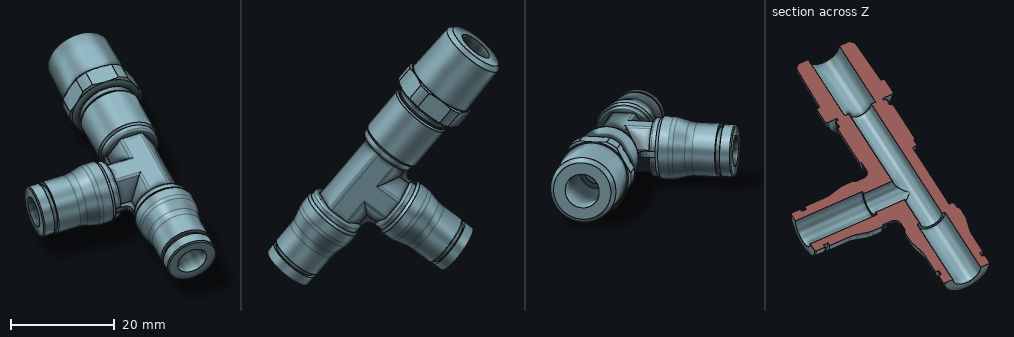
import cadquery as cq
import math

PORT_REACH = 23.4
THREAD_REACH = 35.25

PASSAGE_RADIUS = 2.4
TUBE_RADIUS = 3.0
TUBE_STOP = 8.8
THREAD_BORE_RADIUS = 3.35

COLLAR_START = 7.4
COLLAR_END = 8.7
COLLAR_RADIUS = 5.7
COLLAR_ROUND = 0.45
SLEEVE_START = 9.25
SLEEVE_RADIUS = 6.1
TAPER_START = 11.25
TAPER_END = 15.85
TAPER_BEND_IN = 0.9
TAPER_BEND_OUT = 1.4
BARREL_RADIUS = 5.2
GROOVE_START = 20.3
GROOVE_END = 21.2
GROOVE_RADIUS = 4.5
RELEASE_RADIUS = 5.1
RELEASE_CHAMFER = 0.25

THREAD_END = -24.4
THREAD_TIP_RADIUS = 5.65
THREAD_CHAMFER = 0.9
THREAD_RADIUS = 6.45
THREAD_SLOPE = 1 / 32
HEX_END = -20.35
HEX_FLATS = 14.0
HEX_TURNED_RADIUS = 7.5
HEX_CHAMFER = 0.25
NECK_END = -20.0
NECK_RADIUS = 5.05
RING_END = -18.9
RING_RADIUS = 5.6
RELIEF_RADIUS = 5.45
BODY_START = -18.55
BODY_CHAMFER = 0.35
BODY_END = -9.25
SHOULDER_START = -8.85
SHOULDER_END = -7.5
SHOULDER_RADIUS = 5.75

CORE_HALF_HEIGHT = 4.5
CORE_TOP_HALF_WIDTH = 2.25
CORE_BACK_WIDTH = 4.8
CORE_INNER_WIDTH = 5.5
CORE_ROUND = 0.7
WEB_THICKNESS = 1.25
WEB_HALF_WIDTH = 5.75
WEB_LEFT_END = 7.85
WEB_CORNER_RADIUS = 1.3
CORNER_MARGIN = 0.3


def revolve_about_x(outline):
    return outline.close().revolve(360, (0, 0, 0), (1, 0, 0))


def to_branch(shape):
    return shape.rotate((0, 0, 0), (0, 0, 1), -90)


def tube_port():
    taper_run = TAPER_END - TAPER_START - (TAPER_BEND_IN + TAPER_BEND_OUT) / 2
    slope = (SLEEVE_RADIUS - BARREL_RADIUS) / taper_run
    cone_start = (TAPER_START + TAPER_BEND_IN, SLEEVE_RADIUS - slope * TAPER_BEND_IN / 2)
    cone_end = (TAPER_END - TAPER_BEND_OUT, BARREL_RADIUS + slope * TAPER_BEND_OUT / 2)
    outline = (
        cq.Workplane("XY")
        .moveTo(COLLAR_START, 0)
        .lineTo(COLLAR_START, COLLAR_RADIUS - COLLAR_ROUND)
        .tangentArcPoint((COLLAR_START + COLLAR_ROUND, COLLAR_RADIUS), relative=False)
        .lineTo(COLLAR_END, COLLAR_RADIUS)
        .lineTo(SLEEVE_START, SLEEVE_RADIUS)
        .lineTo(TAPER_START, SLEEVE_RADIUS)
        .tangentArcPoint(cone_start, relative=False)
        .lineTo(*cone_end)
        .tangentArcPoint((TAPER_END, BARREL_RADIUS), relative=False)
        .lineTo(GROOVE_START, BARREL_RADIUS)
        .lineTo(GROOVE_START, GROOVE_RADIUS)
        .lineTo(GROOVE_END, GROOVE_RADIUS)
        .lineTo(GROOVE_END, RELEASE_RADIUS)
        .lineTo(PORT_REACH - RELEASE_CHAMFER, RELEASE_RADIUS)
        .lineTo(PORT_REACH, RELEASE_RADIUS - RELEASE_CHAMFER)
        .lineTo(PORT_REACH, 0)
    )
    return revolve_about_x(outline)


def threaded_end():
    thread_start = THREAD_CHAMFER - THREAD_REACH
    thread_large_radius = THREAD_RADIUS + THREAD_SLOPE * (THREAD_END - thread_start)
    outline = (
        cq.Workplane("XY")
        .moveTo(-THREAD_REACH, 0)
        .lineTo(-THREAD_REACH, THREAD_TIP_RADIUS)
        .lineTo(thread_start, THREAD_RADIUS)
        .lineTo(THREAD_END, thread_large_radius)
        .lineTo(HEX_END, thread_large_radius)
        .lineTo(HEX_END, NECK_RADIUS)
        .lineTo(NECK_END, NECK_RADIUS)
        .lineTo(NECK_END, RING_RADIUS)
        .lineTo(RING_END, RING_RADIUS)
        .lineTo(BODY_START, RELIEF_RADIUS)
        .lineTo(BODY_START, SLEEVE_RADIUS - BODY_CHAMFER)
        .lineTo(BODY_START + BODY_CHAMFER, SLEEVE_RADIUS)
        .lineTo(BODY_END, SLEEVE_RADIUS)
        .lineTo(SHOULDER_START, SHOULDER_RADIUS)
        .lineTo(SHOULDER_END - COLLAR_ROUND, SHOULDER_RADIUS)
        .tangentArcPoint((SHOULDER_END, SHOULDER_RADIUS - COLLAR_ROUND), relative=False)
        .lineTo(SHOULDER_END, 0)
    )
    return revolve_about_x(outline)


def wrench_hex():
    corner_diameter = HEX_FLATS / math.cos(math.radians(30))
    hex_face = cq.Workplane("YZ", origin=(THREAD_END, 0, 0))
    prism = hex_face.polygon(6, corner_diameter).extrude(HEX_END - THREAD_END)
    turned_outline = (
        cq.Workplane("XY")
        .moveTo(THREAD_END, 0)
        .lineTo(THREAD_END, HEX_FLATS / 2)
        .lineTo(THREAD_END + HEX_CHAMFER, HEX_TURNED_RADIUS)
        .lineTo(HEX_END - HEX_CHAMFER, HEX_TURNED_RADIUS)
        .lineTo(HEX_END, HEX_FLATS / 2)
        .lineTo(HEX_END, 0)
    )
    return prism.intersect(revolve_about_x(turned_outline))


def core_bar(start, end, left_width):
    """Six-sided bar along X with rounded long edges; left_width is its half width on the +Y side."""
    section = [
        (left_width, 0),
        (CORE_TOP_HALF_WIDTH, CORE_HALF_HEIGHT),
        (-CORE_TOP_HALF_WIDTH, CORE_HALF_HEIGHT),
        (-CORE_INNER_WIDTH, 0),
        (-CORE_TOP_HALF_WIDTH, -CORE_HALF_HEIGHT),
        (CORE_TOP_HALF_WIDTH, -CORE_HALF_HEIGHT),
    ]
    bar = cq.Workplane("YZ", origin=(start, 0, 0)).polyline(section).close().extrude(end - start)
    return bar.edges("|X").fillet(CORE_ROUND)


def corner_web():
    outline = [
        (-WEB_LEFT_END, 0),
        (-WEB_LEFT_END, -WEB_HALF_WIDTH),
        (-WEB_HALF_WIDTH, -WEB_HALF_WIDTH),
        (-WEB_HALF_WIDTH, -COLLAR_END),
        (WEB_HALF_WIDTH, -COLLAR_END),
        (WEB_HALF_WIDTH, -WEB_HALF_WIDTH),
        (COLLAR_END, -WEB_HALF_WIDTH),
        (COLLAR_END, 0),
    ]
    web = cq.Workplane("XY").polyline(outline).close().extrude(WEB_THICKNESS / 2, both=True)
    reach = WEB_HALF_WIDTH + CORNER_MARGIN
    inner_corners = cq.selectors.BoxSelector(
        (-reach, -reach, -WEB_THICKNESS),
        (reach, CORNER_MARGIN - WEB_HALF_WIDTH, WEB_THICKNESS),
    )
    return web.edges("|Z").edges(inner_corners).fillet(WEB_CORNER_RADIUS)


def bore(radius, start, end):
    return cq.Workplane("YZ", origin=(start, 0, 0)).circle(radius).extrude(end - start)


run_core = core_bar(SHOULDER_END, COLLAR_START, CORE_BACK_WIDTH)
branch_core = to_branch(core_bar(0, COLLAR_START, CORE_INNER_WIDTH))

port = tube_port()
tee = (
    threaded_end()
    .union(wrench_hex())
    .union(run_core)
    .union(branch_core)
    .union(corner_web())
    .union(port)
    .union(to_branch(port))
)

tube_bore = bore(TUBE_RADIUS, TUBE_STOP, PORT_REACH)
result = (
    tee.cut(bore(PASSAGE_RADIUS, -THREAD_REACH, PORT_REACH))
    .cut(to_branch(bore(PASSAGE_RADIUS, 0, PORT_REACH)))
    .cut(tube_bore)
    .cut(to_branch(tube_bore))
    .cut(bore(THREAD_BORE_RADIUS, -THREAD_REACH, HEX_END))
)